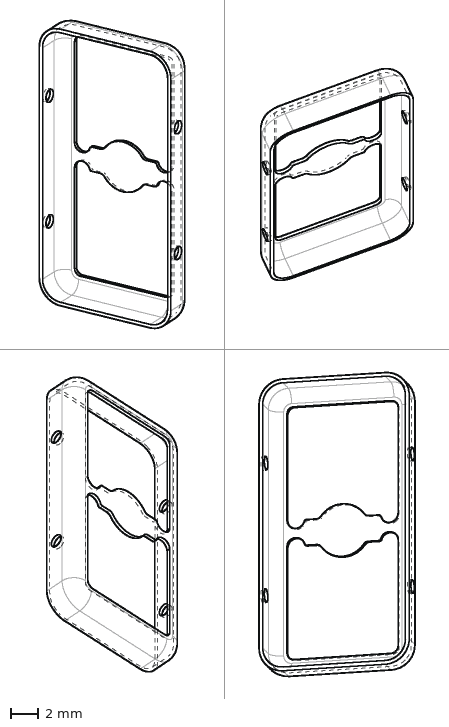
import cadquery as cq

width = 11.3
depth = 2.8
height = 22.0
wall = 0.29
corner_radius = 1.8
edge_radius = 1.2

rim_lip = 0.26
window_inset = edge_radius + rim_lip
window_width = width - 2 * window_inset
window_height = height - 2 * window_inset
window_radius = 0.53

bar_height = 1.94
disc_radius = 1.98
disc_blend_radius = 0.45
bar_corner_radius = 0.2
neck_height = 0.7
notch_radius = 0.65
notch_x = window_width / 2 - notch_radius
notch_z = neck_height / 2 + notch_radius

hole_diameter = 1.0
hole_spacing = 9.99
hole_from_open_side = 1.0

front_y = -depth / 2
back_y = depth / 2


def block(size_x, size_z, y_start, y_end):
    """Box centred on the Y axis, between two Y positions."""
    return (
        cq.Workplane("XZ", origin=(0, y_start, 0))
        .rect(size_x, size_z)
        .extrude(y_start - y_end)
    )


def rounded_tray(inset, y_end):
    """Solid with round corners and a round +Y edge, inset from the outside."""
    return (
        block(width - 2 * inset, height - 2 * inset, front_y, y_end)
        .edges("|Y")
        .fillet(corner_radius - inset)
        .faces(">Y")
        .edges()
        .fillet(edge_radius - inset)
    )


def make_frame():
    shell = rounded_tray(0, back_y).cut(rounded_tray(wall, back_y - wall))
    window = block(window_width, window_height, front_y, back_y).edges("|Y").fillet(window_radius)
    return shell.cut(window)


def make_crossbar():
    bar_y = back_y - wall
    bar = block(window_width + rim_lip, bar_height, bar_y, back_y)
    disc = cq.Workplane("XZ", origin=(0, bar_y, 0)).circle(disc_radius).extrude(-wall)
    bar = bar.union(disc)
    disc_corners = cq.selectors.BoxSelector(
        (-disc_radius, front_y, -bar_height), (disc_radius, depth, bar_height)
    )
    bar = bar.edges("|Y").edges(disc_corners).fillet(disc_blend_radius)
    notch_centres = [(x, z) for x in (-notch_x, notch_x) for z in (-notch_z, notch_z)]
    notches = (
        cq.Workplane("XZ", origin=(0, bar_y, 0))
        .pushPoints(notch_centres)
        .circle(notch_radius)
        .extrude(-wall)
    )
    bar = bar.cut(notches)
    disc_reach = disc_radius + disc_blend_radius
    bar_corners = cq.selectors.BoxSelector(
        (-notch_x, front_y, -bar_height), (notch_x, depth, bar_height)
    ) - cq.selectors.BoxSelector(
        (-disc_reach, front_y, -bar_height), (disc_reach, depth, bar_height)
    )
    return bar.edges("|Y").edges(bar_corners).fillet(bar_corner_radius)


def make_side_holes():
    hole_y = front_y + hole_from_open_side
    return (
        cq.Workplane("YZ", origin=(-width / 2, 0, 0))
        .pushPoints([(hole_y, -hole_spacing / 2), (hole_y, hole_spacing / 2)])
        .circle(hole_diameter / 2)
        .extrude(width)
    )


result = make_frame().union(make_crossbar()).cut(make_side_holes())